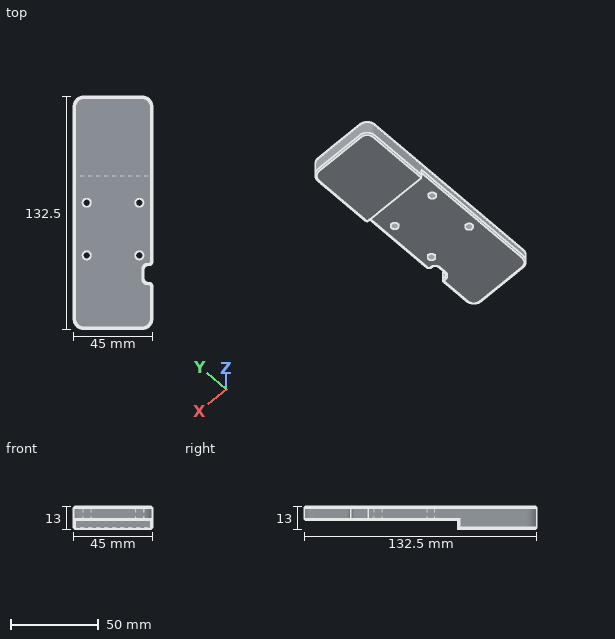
import cadquery as cq

width = 45.0
length = 132.5
thickness = 13.0
thin_thickness = 8.0
thick_length = 45.0
corner_radius = 6.0
edge_chamfer = 1.0

hole_diameter = 4.5
hole_spacing = 30.0
hole_center_y = -9.3

notch_width = 10.0
notch_depth = 5.0
notch_center_y = -34.8
notch_radius = 2.5
mouth_radius = 2.0

step_y = length / 2 - thick_length
step_z = thickness - thin_thickness


def make_plate():
    return (
        cq.Workplane("XY")
        .rect(width, length)
        .extrude(thickness)
        .edges("|Z")
        .fillet(corner_radius)
    )


def make_step_relief():
    """Block removed below the thin part of the plate."""
    relief_length = length - thick_length
    return (
        cq.Workplane("XY")
        .center(0, step_y - relief_length / 2)
        .rect(width, relief_length)
        .extrude(step_z)
    )


def make_notch():
    """Cutter with rounded inner corners, reaching as far outside the plate as inside it."""
    return (
        cq.Workplane("XY")
        .center(width / 2, notch_center_y)
        .rect(2 * notch_depth, notch_width)
        .extrude(thickness)
        .edges("|Z and <X")
        .fillet(notch_radius)
    )


def round_notch_mouth(plate):
    """Round the upright edges where the notch opens into the +X side."""

    def on_notch_mouth(edge):
        at_side = edge.Center().x > width / 2 - notch_depth / 2
        near_notch = abs(edge.Center().y - notch_center_y) < notch_width
        return at_side and near_notch

    return plate.edges("|Z").filter(on_notch_mouth).fillet(mouth_radius)


def chamfer_rim(plate):
    """Bevel the top and bottom outlines and the upright edges of the step."""

    def on_step(edge):
        return abs(edge.Center().y - step_y) < edge_chamfer

    def off_step(edge):
        return not on_step(edge)

    top = plate.faces(">Z").edges()
    bottom = plate.faces("<Z").edges().filter(off_step)
    underside = plate.faces("-Z").faces(">Z").edges().filter(off_step)
    step_sides = plate.edges("|Z").filter(on_step)
    return top.add(bottom).add(underside).add(step_sides).chamfer(edge_chamfer)


def drill_holes(plate):
    return (
        plate.faces(">Z")
        .workplane(origin=(0, hole_center_y, thickness))
        .rect(hole_spacing, hole_spacing, forConstruction=True)
        .vertices()
        .hole(hole_diameter)
    )


plate = make_plate().cut(make_step_relief()).cut(make_notch())
plate = round_notch_mouth(plate)
plate = chamfer_rim(plate)
result = drill_holes(plate)